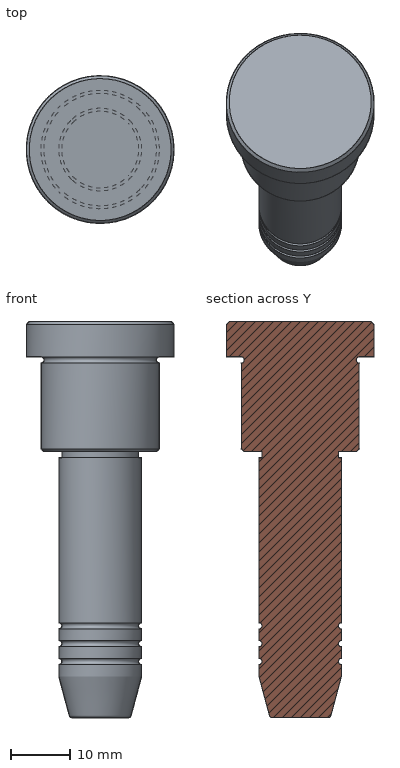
import cadquery as cq
import math

total_height = 67.0
edge_size = 0.5
relief_width = 2 * edge_size

head_radius = 25.0 / 2
head_height = 6.0
head_bottom = total_height - head_height

collar_radius = 20.0 / 2
collar_height = 16.0
collar_bottom = head_bottom - collar_height

shank_radius = 14.0 / 2
neck_radius = shank_radius - edge_size
neck_bottom = collar_bottom - relief_width

groove_count = 3
groove_pitch = 3.0
lowest_groove_center = 9.5

tip_height = 7.0
tip_angle = 15
tip_radius = shank_radius - tip_height * math.tan(math.radians(tip_angle))


def cylinder(radius, bottom, top):
    return cq.Workplane("XY").workplane(offset=bottom).circle(radius).extrude(top - bottom)


def round_groove(radius, center):
    """Ring of circular section, to be cut half deep into a cylinder."""
    return (
        cq.Workplane("XZ")
        .center(radius, center)
        .circle(relief_width / 2)
        .revolve(360, (-radius, 0), (-radius, 1))
    )


head = cylinder(head_radius, head_bottom, total_height).faces(">Z").chamfer(edge_size)

collar = cylinder(collar_radius, collar_bottom, head_bottom).faces("<Z").chamfer(edge_size)
collar = collar.cut(round_groove(collar_radius, head_bottom - relief_width / 2))

neck = cylinder(neck_radius, neck_bottom, collar_bottom)
shank = cylinder(shank_radius, tip_height, neck_bottom).union(neck)
for index in range(groove_count):
    shank = shank.cut(round_groove(shank_radius, lowest_groove_center + index * groove_pitch))

tip = (
    cq.Workplane("XZ")
    .polyline([(0, 0), (tip_radius, 0), (shank_radius, tip_height), (0, tip_height)])
    .close()
    .revolve(360, (0, 0), (0, 1))
    .faces("<Z")
    .edges()
    .fillet(edge_size)
)

result = head.union(collar).union(shank).union(tip)